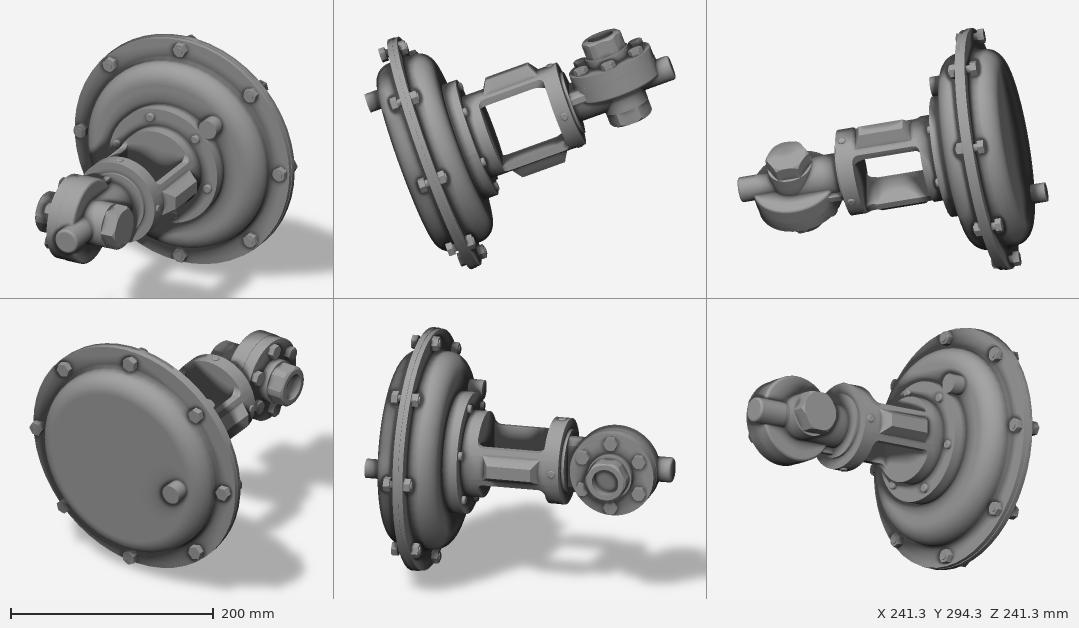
import math

import cadquery as cq


OVERALL_LENGTH = 294.26

FLANGE_RADIUS = 120.65
LOWER_FLANGE_RADIUS = 119.9
UPPER_FLANGE_THICKNESS = 5.5
LOWER_FLANGE_THICKNESS = 4.6
CASE_RADIUS = 98.3
UPPER_WALL_FLARE = 0.7
CASE_TOP_Y = 30.3
CASE_BOTTOM_Y = -29.8
CASE_CORNER_RADIUS = 17.2
FLANGE_FILLET = 3.4

PORT_RADIUS = 9.6
PORT_PITCH_RADIUS = 70.0
VENT_TOP_Y = 44.7
BOSS_ANGLE = 45.0

BOLT_COUNT = 8
BOLT_PITCH_RADIUS = 111.1
BOLT_FLATS = 12.7
BOLT_HEAD_HEIGHT = 6.2
BOLT_HEAD_GAP = 4.3
BOLT_RADIUS = 4.0
NUT_HEIGHT = 6.6
NUT_CHAMFER = 0.8
BOLT_END_LENGTH = 1.2

PLATE_RADIUS = 60.4
PLATE_BOTTOM_Y = -44.3
PLATE_SCREW_COUNT = 6
PLATE_SCREW_FIRST_ANGLE = 45.0
PLATE_SCREW_PITCH_RADIUS = 52.2
PLATE_SCREW_RADIUS = 4.4
PLATE_SCREW_HEIGHT = 3.6
SCREW_CHAMFER = 0.9

YOKE_RADIUS = 42.85
WINDOW_TOP_Y = -59.4
WINDOW_BOTTOM_Y = -127.7
WINDOW_HALF_WIDTH = 31.6
WINDOW_TAPER_LENGTH = 11.0
WINDOW_TAPER_DEPTH = 3.2
LEG_HALF_HEIGHT = 19.2
LEG_FILLET = 6.35
YOKE_BOTTOM_Y = -143.3
REGISTER_RADIUS = 32.2
REGISTER_THICKNESS = 3.0

PAD_CENTRE_Y = -95.0
PAD_FACE_X = 52.6
PAD_BASE_X = 41.0
PAD_ROOT_X = 36.0
PAD_BASE_LENGTH = 57.8
PAD_BASE_HEIGHT = 25.6
PAD_FACE_LENGTH = 44.6
PAD_FACE_HEIGHT = 12.6

SET_SCREW_Y = -136.6
SET_SCREW_RADIUS = 3.9
SET_SCREW_PROJECTION = 1.7

VALVE_Y = -194.1
COVER_RADIUS = 42.6
VALVE_RADIUS = 43.1
COVER_FACE_X = -28.2
COVER_JOINT_X = -16.6
BODY_BACK_X = 0.5
BODY_RIM_FILLET = 2.7
CASTING_FILLET = 1.2
NECK_CENTRE_X = -2.1
SHOULDER_LEFT_X = -14.4
SHOULDER_RIGHT_X = -4.0
SHOULDER_HALF_HEIGHT = 28.3
SHOULDER_CHAMFER_X = 4.6
SHOULDER_CHAMFER_Z = 6.6
PLUG_RADIUS = 12.5
PLUG_END_FILLET = 2.6
PLUG_END_Y = VENT_TOP_Y - OVERALL_LENGTH

PORT_BODY_RADIUS = 22.3
PORT_FLATS = 38.4
INLET_HEX_X = -36.9
INLET_FACE_X = -53.8
INLET_ROUND_RADIUS = 20.5
INLET_CHAMFER = 2.2
INLET_BORE_RADIUS = 13.4
INLET_BORE_DEPTH = 14.0
OUTLET_HEX_X = 21.5
OUTLET_FACE_X = 36.0
OUTLET_CHAMFER = 2.6

COVER_BOLT_COUNT = 6
COVER_BOLT_FIRST_ANGLE = 30.0
COVER_BOLT_PITCH_RADIUS = 33.2
COVER_BOLT_FLATS = 12.7
COVER_BOLT_HEIGHT = 6.1
COVER_BOLT_CHAMFER = 0.7

ORIGIN = (0, 0, 0)
STEM_AXIS = (0, 1, 0)
TOWARD_FRONT = (0, -1, 0)
TOUCH_TOLERANCE = 0.01


def bar(start, direction, radius, length, end_chamfer=0.0):
    """Round bar growing from start along direction, with an optional chamfer at its far end."""
    solid = cq.Workplane(cq.Plane(start, normal=direction)).circle(radius).extrude(length)
    if end_chamfer:
        solid = solid.faces(cq.selectors.DirectionMinMaxSelector(cq.Vector(*direction), True))
        solid = solid.edges().chamfer(end_chamfer)
    return solid


def hex_bar(start, direction, corner_direction, flats, length, end_chamfer=0.0):
    """Hexagonal bar with corners along corner_direction, its far corners optionally turned down."""
    corner_radius = flats / 2 / math.cos(math.pi / 6)
    plane = cq.Plane(start, xDir=corner_direction, normal=direction)
    solid = cq.Workplane(plane).polygon(6, 2 * corner_radius).extrude(length)
    if end_chamfer:
        solid = solid.intersect(bar(start, direction, corner_radius, length, end_chamfer))
    return solid


def polar(radius, angle):
    """The two coordinates of a point at a radius and an angle in degrees."""
    return radius * math.cos(math.radians(angle)), radius * math.sin(math.radians(angle))


def diaphragm_case():
    rim_radius = CASE_RADIUS + UPPER_WALL_FLARE
    corner_mid = CASE_CORNER_RADIUS * (1 - math.sqrt(0.5))
    fillet_mid = FLANGE_FILLET * (1 - math.sqrt(0.5))
    flange_top = UPPER_FLANGE_THICKNESS
    flange_bottom = -LOWER_FLANGE_THICKNESS
    profile = (
        cq.Workplane("XY")
        .moveTo(0, CASE_TOP_Y)
        .lineTo(CASE_RADIUS - CASE_CORNER_RADIUS, CASE_TOP_Y)
        .threePointArc(
            (CASE_RADIUS - corner_mid, CASE_TOP_Y - corner_mid),
            (CASE_RADIUS, CASE_TOP_Y - CASE_CORNER_RADIUS),
        )
        .lineTo(rim_radius, flange_top + FLANGE_FILLET)
        .threePointArc(
            (rim_radius + fillet_mid, flange_top + fillet_mid),
            (rim_radius + FLANGE_FILLET, flange_top),
        )
        .lineTo(FLANGE_RADIUS, flange_top)
        .lineTo(FLANGE_RADIUS, 0)
        .lineTo(LOWER_FLANGE_RADIUS, 0)
        .lineTo(LOWER_FLANGE_RADIUS, flange_bottom)
        .lineTo(CASE_RADIUS + FLANGE_FILLET, flange_bottom)
        .threePointArc(
            (CASE_RADIUS + fillet_mid, flange_bottom - fillet_mid),
            (CASE_RADIUS, flange_bottom - FLANGE_FILLET),
        )
        .lineTo(CASE_RADIUS, CASE_BOTTOM_Y + CASE_CORNER_RADIUS)
        .threePointArc(
            (CASE_RADIUS - corner_mid, CASE_BOTTOM_Y + corner_mid),
            (CASE_RADIUS - CASE_CORNER_RADIUS, CASE_BOTTOM_Y),
        )
        .lineTo(0, CASE_BOTTOM_Y)
        .close()
    )
    case = profile.revolve(360, ORIGIN, STEM_AXIS)
    vent = bar((-PORT_PITCH_RADIUS, 0, 0), STEM_AXIS, PORT_RADIUS, VENT_TOP_Y)
    boss_x, boss_z = polar(PORT_PITCH_RADIUS, BOSS_ANGLE)
    boss = bar((boss_x, 0, boss_z), TOWARD_FRONT, PORT_RADIUS, -PLATE_BOTTOM_Y)
    return case.union(vent).union(boss)


def flange_bolt():
    """Bolt with its head above the flange and its nut below it, at angle zero."""
    head_bottom = UPPER_FLANGE_THICKNESS + BOLT_HEAD_GAP
    nut_bottom = -LOWER_FLANGE_THICKNESS - NUT_HEIGHT
    bolt_end = nut_bottom - BOLT_END_LENGTH
    radial, tangential = (1, 0, 0), (0, 0, 1)
    head = hex_bar((BOLT_PITCH_RADIUS, head_bottom, 0), STEM_AXIS, radial, BOLT_FLATS, BOLT_HEAD_HEIGHT)
    shank = bar((BOLT_PITCH_RADIUS, head_bottom, 0), TOWARD_FRONT, BOLT_RADIUS, head_bottom - bolt_end)
    nut_start = (BOLT_PITCH_RADIUS, -LOWER_FLANGE_THICKNESS, 0)
    nut = hex_bar(nut_start, TOWARD_FRONT, tangential, BOLT_FLATS, NUT_HEIGHT, NUT_CHAMFER)
    return head.union(shank).union(nut)


def base_plate():
    plate = bar((0, CASE_BOTTOM_Y, 0), TOWARD_FRONT, PLATE_RADIUS, CASE_BOTTOM_Y - PLATE_BOTTOM_Y)
    for index in range(PLATE_SCREW_COUNT):
        x, z = polar(PLATE_SCREW_PITCH_RADIUS, PLATE_SCREW_FIRST_ANGLE + index * 360 / PLATE_SCREW_COUNT)
        start = (x, PLATE_BOTTOM_Y, z)
        plate = plate.union(bar(start, TOWARD_FRONT, PLATE_SCREW_RADIUS, PLATE_SCREW_HEIGHT, SCREW_CHAMFER))
    return plate


def yoke_window():
    """Opening between the two legs, slightly narrower at its lower end."""
    end_half_width = WINDOW_HALF_WIDTH - WINDOW_TAPER_DEPTH
    taper_y = WINDOW_BOTTOM_Y + WINDOW_TAPER_LENGTH
    return (
        cq.Workplane("XY")
        .polyline([
            (-WINDOW_HALF_WIDTH, WINDOW_TOP_Y),
            (WINDOW_HALF_WIDTH, WINDOW_TOP_Y),
            (WINDOW_HALF_WIDTH, taper_y),
            (end_half_width, WINDOW_BOTTOM_Y),
            (-end_half_width, WINDOW_BOTTOM_Y),
            (-WINDOW_HALF_WIDTH, taper_y),
        ])
        .close()
        .extrude(YOKE_RADIUS, both=True)
    )


def leg_relief(side):
    """Space above (side 1) or below (side -1) the flat edges of the legs."""
    length = WINDOW_TOP_Y - WINDOW_BOTTOM_Y
    relief = cq.Workplane("XY").box(2 * YOKE_RADIUS, length, YOKE_RADIUS)
    leg_face = "<Z" if side > 0 else ">Z"
    relief = relief.faces(leg_face).edges("|X").fillet(LEG_FILLET)
    centre_y = (WINDOW_TOP_Y + WINDOW_BOTTOM_Y) / 2
    return relief.translate((0, centre_y, side * (LEG_HALF_HEIGHT + YOKE_RADIUS / 2)))


def leg_pad(side):
    """Tapered pad on the outside of one leg."""
    plane = cq.Plane((side * PAD_BASE_X, PAD_CENTRE_Y, 0), xDir=STEM_AXIS, normal=(side, 0, 0))
    root = cq.Workplane(plane).rect(PAD_BASE_LENGTH, PAD_BASE_HEIGHT).extrude(PAD_ROOT_X - PAD_BASE_X)
    taper = (
        cq.Workplane(plane)
        .rect(PAD_BASE_LENGTH, PAD_BASE_HEIGHT)
        .workplane(offset=PAD_FACE_X - PAD_BASE_X)
        .rect(PAD_FACE_LENGTH, PAD_FACE_HEIGHT)
        .loft()
    )
    return root.union(taper)


def yoke():
    body = bar((0, PLATE_BOTTOM_Y, 0), TOWARD_FRONT, YOKE_RADIUS, PLATE_BOTTOM_Y - YOKE_BOTTOM_Y)
    body = body.cut(yoke_window())
    for side in (-1, 1):
        body = body.cut(leg_relief(side)).union(leg_pad(side))
    for direction in ((1, 0, 0), (-1, 0, 0), (0, 0, 1), (0, 0, -1)):
        length = YOKE_RADIUS + SET_SCREW_PROJECTION
        screw = bar((0, SET_SCREW_Y, 0), direction, SET_SCREW_RADIUS, length, SCREW_CHAMFER)
        body = body.union(screw)
    register = bar((0, YOKE_BOTTOM_Y, 0), TOWARD_FRONT, REGISTER_RADIUS, REGISTER_THICKNESS)
    return body.union(register)


def valve_neck():
    """Round neck with a flat left side and a shoulder block, joining the yoke to the valve body."""
    start_y = YOKE_BOTTOM_Y - REGISTER_THICKNESS
    length = start_y - VALVE_Y
    neck = bar((NECK_CENTRE_X, start_y, 0), TOWARD_FRONT, PORT_BODY_RADIUS, length)
    trim_size = 3 * PORT_BODY_RADIUS
    trim = cq.Workplane("XY").box(trim_size, 2 * length, trim_size)
    neck = neck.intersect(trim.translate((SHOULDER_LEFT_X + trim_size / 2, start_y, 0)))
    chamfer_x = SHOULDER_LEFT_X + SHOULDER_CHAMFER_X
    chamfer_z = SHOULDER_HALF_HEIGHT - SHOULDER_CHAMFER_Z
    shoulder = (
        cq.Workplane(cq.Plane((0, start_y, 0), xDir=(1, 0, 0), normal=TOWARD_FRONT))
        .polyline([
            (SHOULDER_RIGHT_X, SHOULDER_HALF_HEIGHT),
            (chamfer_x, SHOULDER_HALF_HEIGHT),
            (SHOULDER_LEFT_X, chamfer_z),
            (SHOULDER_LEFT_X, -chamfer_z),
            (chamfer_x, -SHOULDER_HALF_HEIGHT),
            (SHOULDER_RIGHT_X, -SHOULDER_HALF_HEIGHT),
        ])
        .close()
        .extrude(length)
    )
    return neck.union(shoulder)


def valve_inlet():
    toward_left = (-1, 0, 0)
    boss = bar((COVER_FACE_X, VALVE_Y, 0), toward_left, PORT_BODY_RADIUS, COVER_FACE_X - INLET_HEX_X)
    length = INLET_HEX_X - INLET_FACE_X
    start = (INLET_HEX_X, VALVE_Y, 0)
    hexagon = hex_bar(start, toward_left, STEM_AXIS, PORT_FLATS, length)
    hexagon = hexagon.intersect(bar(start, toward_left, INLET_ROUND_RADIUS, length, INLET_CHAMFER))
    bore = bar((INLET_FACE_X, VALVE_Y, 0), (1, 0, 0), INLET_BORE_RADIUS, INLET_BORE_DEPTH)
    return boss.union(hexagon).cut(bore)


def valve_casting():
    """Body disc, neck, bottom plug and outlet tube, with fillets where they meet each other."""
    toward_right = (1, 0, 0)
    disc = bar((COVER_JOINT_X, VALVE_Y, 0), toward_right, VALVE_RADIUS, BODY_BACK_X - COVER_JOINT_X)
    disc = disc.faces(">X").edges().fillet(BODY_RIM_FILLET)
    plug = bar((0, VALVE_Y, 0), TOWARD_FRONT, PLUG_RADIUS, VALVE_Y - PLUG_END_Y)
    plug = plug.faces("<Y").edges().fillet(PLUG_END_FILLET)
    outlet_tube = bar((0, VALVE_Y, 0), toward_right, PORT_BODY_RADIUS, OUTLET_HEX_X)
    parts = [disc, outlet_tube, valve_neck(), plug]
    casting = parts[0]
    for part in parts[1:]:
        casting = casting.union(part)

    def joins_two_parts(edge):
        midpoint = cq.Vertex.makeVertex(*edge.positionAt(0.5).toTuple())
        return sum(part.val().distance(midpoint) < TOUCH_TOLERANCE for part in parts) > 1

    return casting.edges().filter(joins_two_parts).fillet(CASTING_FILLET)


def valve():
    body = valve_casting()
    cover = bar((COVER_FACE_X, VALVE_Y, 0), (1, 0, 0), COVER_RADIUS, COVER_JOINT_X - COVER_FACE_X)
    outlet_length = OUTLET_FACE_X - OUTLET_HEX_X
    outlet_start = (OUTLET_HEX_X, VALVE_Y, 0)
    outlet = hex_bar(outlet_start, (1, 0, 0), STEM_AXIS, PORT_FLATS, outlet_length, OUTLET_CHAMFER)
    body = body.union(cover).union(valve_inlet()).union(outlet)
    for index in range(COVER_BOLT_COUNT):
        y, z = polar(COVER_BOLT_PITCH_RADIUS, COVER_BOLT_FIRST_ANGLE + index * 360 / COVER_BOLT_COUNT)
        start = (COVER_FACE_X, VALVE_Y + y, z)
        bolt = hex_bar(
            start, (-1, 0, 0), STEM_AXIS, COVER_BOLT_FLATS, COVER_BOLT_HEIGHT, COVER_BOLT_CHAMFER
        )
        body = body.union(bolt)
    return body


result = diaphragm_case().union(base_plate()).union(yoke()).union(valve())
for bolt_index in range(BOLT_COUNT):
    bolt_angle = bolt_index * 360 / BOLT_COUNT
    result = result.union(flange_bolt().rotate(ORIGIN, STEM_AXIS, bolt_angle))